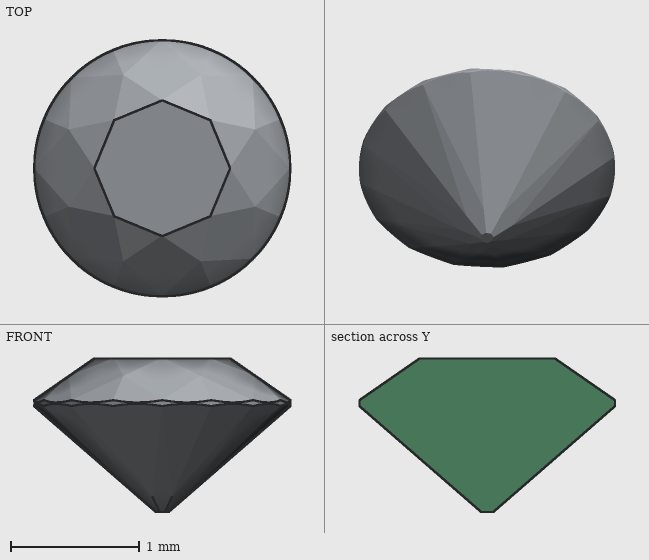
import cadquery as cq
import math

girdle_radius = 1.0
total_height = 1.2
fold = 8
half_step = 180.0 / fold

table_radius = 0.53
crown_base = 0.875
kite_corner_radius = 0.788

culet_apothem = 0.048
pavilion_top = 0.828
lower_corner_height = 0.12

cutter_size = 4 * girdle_radius


def polar(radius, angle, z):
    """Point at a radius and an angle in degrees about Z."""
    turn = math.radians(angle)
    return cq.Vector(radius * math.cos(turn), radius * math.sin(turn), z)


def cut_facet(stone, a, b, c):
    """Remove everything outside the plane through three points."""
    normal = (b - a).cross(c - a).normalized()
    centre = cq.Vector(0, 0, (crown_base + pavilion_top) / 2)
    if normal.dot(a - centre) < 0:
        normal = normal * -1
    origin = centre + normal * normal.dot(a - centre)
    plane = cq.Plane(origin=origin, xDir=b - a, normal=normal)
    cutter = cq.Workplane(plane).rect(cutter_size, cutter_size).extrude(cutter_size)
    return stone.cut(cutter)


kite_slope = (total_height - crown_base) / (girdle_radius - table_radius)
kite_corner_reach = kite_corner_radius * math.cos(math.radians(half_step))
kite_corner_height = total_height - kite_slope * (kite_corner_reach - table_radius)

main_slope = pavilion_top / (girdle_radius - culet_apothem)
lower_corner_reach = culet_apothem + lower_corner_height / main_slope
lower_corner_radius = lower_corner_reach / math.cos(math.radians(half_step))

result = cq.Workplane("XY").circle(girdle_radius).extrude(total_height)

for i in range(fold):
    main_angle = 2 * half_step * i
    ridge_angle = main_angle + half_step
    next_angle = main_angle + 2 * half_step

    crown_tip = polar(girdle_radius, main_angle, crown_base)
    kite_left = polar(kite_corner_radius, ridge_angle, kite_corner_height)
    kite_right = polar(kite_corner_radius, main_angle - half_step, kite_corner_height)
    table_corner = polar(table_radius, main_angle, total_height)
    next_table_corner = polar(table_radius, next_angle, total_height)

    pavilion_tip = polar(girdle_radius, main_angle, pavilion_top)
    lower_left = polar(lower_corner_radius, ridge_angle, lower_corner_height)
    lower_right = polar(lower_corner_radius, main_angle - half_step, lower_corner_height)

    result = cut_facet(result, crown_tip, kite_right, kite_left)
    result = cut_facet(result, table_corner, next_table_corner, kite_left)
    result = cut_facet(result, pavilion_tip, lower_right, lower_left)

    for tip_angle in (main_angle, next_angle):
        upper_tip = polar(girdle_radius, tip_angle, crown_base)
        upper_ridge = polar(girdle_radius, ridge_angle, crown_base)
        result = cut_facet(result, upper_tip, upper_ridge, kite_left)

        lower_tip = polar(girdle_radius, tip_angle, pavilion_top)
        lower_ridge = polar(girdle_radius, ridge_angle, pavilion_top)
        result = cut_facet(result, lower_tip, lower_ridge, lower_left)